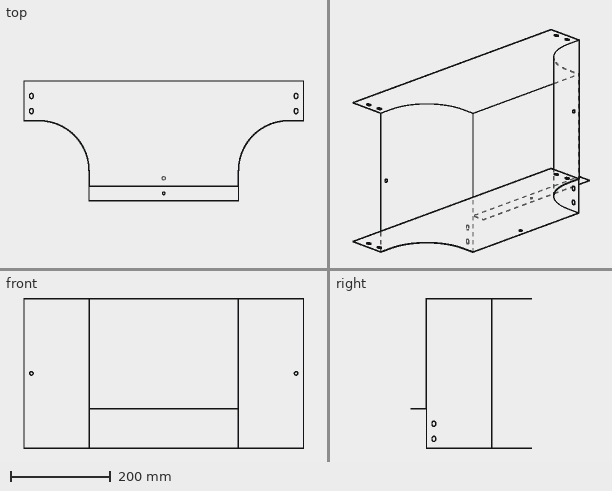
import cadquery as cq

length = 560.0
height = 300.0
neck_width = 300.0
sheet = 1.0
lip = 30.0
bend_radius = (length - neck_width) / 2 - lip
total_depth = 240.0
neck_front = lip - total_depth
shoulder = neck_front + lip + bend_radius
flange_height = 79.5
hole_diameter = 7.0
flange_hole_diameter = 5.0
slot_length = 10.0
slot_width = 7.0
edge_distance = lip / 2
slot_pitch = 30.0
wing_slot_back = 30.0
neck_slot_bottom = 19.0


def tee_prism(offset, bottom, prism_height):
    """Tee with concave quarter-round corners; its side walls move inward by offset."""
    half = length / 2
    neck = neck_width / 2 - offset
    wing_front = shoulder + offset
    radius = bend_radius + offset
    arc_x = neck + radius
    arc_y = wing_front - radius
    diagonal = radius * 0.5**0.5
    return (
        cq.Workplane("XY", origin=(0, 0, bottom))
        .moveTo(-half, 0)
        .lineTo(half, 0)
        .lineTo(half, wing_front)
        .lineTo(arc_x, wing_front)
        .threePointArc((arc_x - diagonal, arc_y + diagonal), (neck, arc_y))
        .lineTo(neck, neck_front)
        .lineTo(-neck, neck_front)
        .lineTo(-neck, arc_y)
        .threePointArc((diagonal - arc_x, arc_y + diagonal), (-arc_x, wing_front))
        .lineTo(-half, wing_front)
        .close()
        .extrude(prism_height)
    )


def cover():
    """L-shaped sheet lapped over the upper front of the neck, with a forward flange."""
    panel_bottom = flange_height - sheet
    panel = cq.Workplane("XY").box(
        neck_width, sheet, height - panel_bottom, centered=(True, False, False)
    ).translate((0, neck_front - sheet, panel_bottom))
    flange = cq.Workplane("XY").box(
        neck_width, lip, sheet, centered=(True, False, False)
    ).translate((0, -total_depth, panel_bottom))
    return panel.union(flange)


def wing_slots():
    """Slots through the top and bottom sheets at both wing ends."""
    slot_x = length / 2 - edge_distance
    centers = [(x, -wing_slot_back - i * slot_pitch) for x in (-slot_x, slot_x) for i in range(2)]
    return cq.Workplane("XY").pushPoints(centers).slot2D(slot_length, slot_width, 90).extrude(height)


def neck_slots():
    """Slots through both neck walls beside the front opening."""
    centers = [(neck_front + edge_distance, neck_slot_bottom + i * slot_pitch) for i in range(2)]
    return (
        cq.Workplane("YZ")
        .pushPoints(centers)
        .slot2D(slot_length, slot_width, 90)
        .extrude(neck_width / 2, both=True)
    )


def wing_holes():
    """One round hole at mid height in each wing wall."""
    hole_x = length / 2 - edge_distance
    return (
        cq.Workplane("XZ")
        .pushPoints([(-hole_x, height / 2), (hole_x, height / 2)])
        .circle(hole_diameter / 2)
        .extrude(total_depth)
    )


def center_hole(y, diameter):
    """Vertical cutter on the centre plane, reaching up to the cover flange."""
    return cq.Workplane("XY").center(0, y).circle(diameter / 2).extrude(flange_height)


duct = tee_prism(0, 0, height).cut(tee_prism(sheet, sheet, height - 2 * sheet))
result = (
    duct.union(cover())
    .cut(wing_slots())
    .cut(neck_slots())
    .cut(wing_holes())
    .cut(center_hole(neck_front - edge_distance, flange_hole_diameter))
    .cut(center_hole(neck_front + edge_distance, hole_diameter))
)